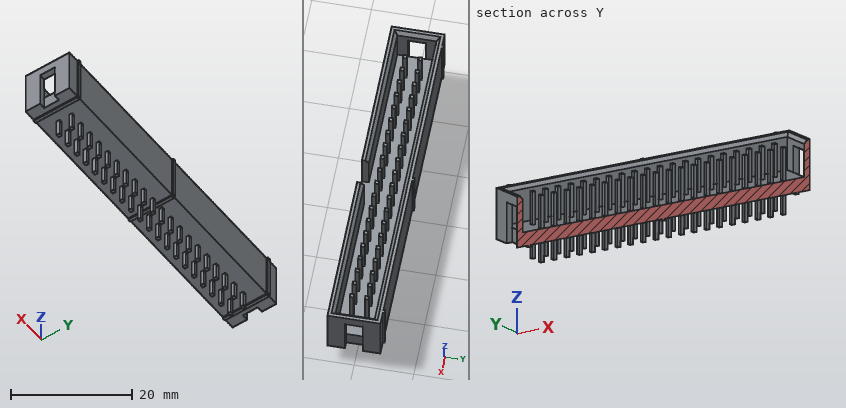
import cadquery as cq

length = 58.45
standoff = 0.3
overall_width = 9.2
width = overall_width - standoff
height = 8.8
overall_height = 12.15
wall = 1.15
floor = 2.5
lead_in = 0.6
lead_in_depth = 0.65

key_slot_width = 4.45
end_slot_width = 3.0
end_slot_top = height - 1.75

pins_per_row = 20
rows = 2
row_length = 48.3
pitch = row_length / (pins_per_row - 1)
pin_size = 0.65
pin_bottom = height - overall_height
pin_top = height - 0.65

rib_width = 0.6
rib_spacing = 26.7


def block(size_x, size_y, z_low, z_high, x=0.0, y=0.0):
    """Upright box centred on (x, y) between two heights."""
    box = cq.Workplane("XY").box(size_x, size_y, z_high - z_low, centered=(True, True, False))
    return box.translate((x, y, z_low))


def make_cavity():
    """Pocket between the walls, flaring outward at the mouth."""
    inner_length = length - 2 * wall
    inner_width = width - 2 * wall
    pocket = block(inner_length, inner_width, floor, height)
    mouth = (
        cq.Workplane("XY", origin=(0, 0, height - lead_in_depth))
        .rect(inner_length, inner_width)
        .workplane(offset=lead_in_depth)
        .rect(inner_length + 2 * lead_in, inner_width + 2 * lead_in)
        .loft(ruled=True)
    )
    return pocket.union(mouth)


def make_housing():
    housing = block(length, width, 0, height).cut(make_cavity())

    front_wall_y = (wall - width) / 2
    housing = housing.cut(block(key_slot_width, wall, floor, height, y=front_wall_y))

    end_wall_x = (length - wall) / 2
    for x in (-end_wall_x, end_wall_x):
        housing = housing.cut(block(wall, end_slot_width, 0, end_slot_top, x=x))
    return housing


def add_ribs(body):
    """Three upright ribs on the rear face and three crosswise ribs on the underside."""
    rear_rib_y = (width + standoff) / 2
    for x in (-rib_spacing, 0, rib_spacing):
        body = body.union(block(rib_width, standoff, 0, height, x=x, y=rear_rib_y))
        body = body.union(block(rib_width, width, -standoff, 0, x=x))
    return body


def make_pins():
    return (
        cq.Workplane("XY", origin=(0, 0, pin_bottom))
        .rarray(pitch, pitch, pins_per_row, rows)
        .rect(pin_size, pin_size)
        .extrude(pin_top - pin_bottom)
    )


result = add_ribs(make_housing()).union(make_pins())